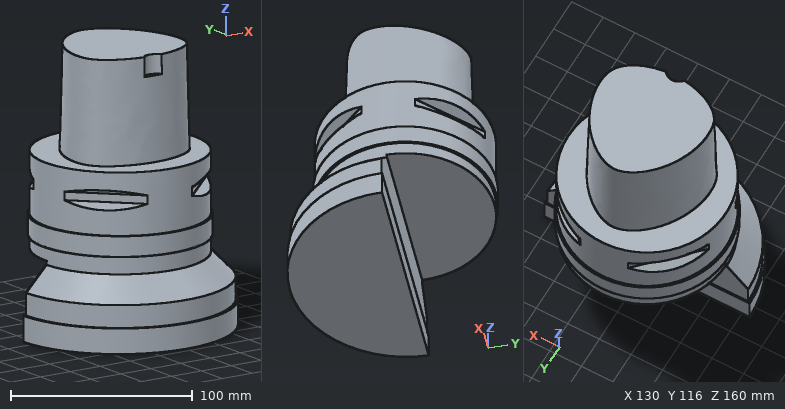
import cadquery as cq
import math

total_height = 160.0
body_diameter = 100.0
collar_diameter = 102.0
flange_diameter = 130.0
flange_step = 1.3

rim_top = 15.0
cone_bottom = 28.0
cone_top = 42.0
body_bottom = 44.0
collar_bottom = 52.0
collar_top = 63.8
body_top = 99.8
bottom_rise = 0.5
setback_depth = 0.6

shank_width = 71.7
lobe_height = 2.5
shank_taper = 1 / 20
outline_points = 36

notch_radius = 7.0
notch_inner_y = -28.5
notch_depth = 11.2

groove_count = 4
groove_height = 83.8
groove_floor_distance = 44.3
groove_floor_width = 4.8
groove_wall_angle = 30.0

body_radius = body_diameter / 2
rim_radius = flange_diameter / 2
band_radius = rim_radius - flange_step


def cylinder(diameter, bottom, top):
    """Upright cylinder on the Z axis."""
    return cq.Workplane("XY").workplane(offset=bottom).circle(diameter / 2).extrude(top - bottom)


def half_turn(profile):
    """Revolve an (r, z) profile through the half circle on the -Y side."""
    return cq.Workplane("XZ").polyline(profile).close().revolve(180, (0, 0, 0), (0, -1, 0))


def lobed_outline(width):
    """Constant-width, three-lobed curve with one lobe toward +Y."""
    points = []
    for i in range(outline_points):
        turn = 2 * math.pi * i / outline_points
        reach = width / 2 + lobe_height * math.cos(3 * turn)
        slide = -3 * lobe_height * math.sin(3 * turn)
        normal = turn + math.pi / 2
        x = reach * math.cos(normal) - slide * math.sin(normal)
        y = reach * math.sin(normal) + slide * math.cos(normal)
        points.append((x, y))
    return points


def make_body():
    collar = cylinder(collar_diameter, collar_bottom, collar_top)
    return cylinder(body_diameter, body_bottom, body_top).union(collar)


def make_flange():
    rim = half_turn([(0, 0), (rim_radius, 0), (rim_radius, rim_top), (0, rim_top)])
    upper = half_turn([
        (0, rim_top),
        (band_radius, rim_top),
        (band_radius, cone_bottom),
        (body_radius, cone_top),
        (body_radius, body_bottom),
        (0, body_bottom),
    ])
    setback = cq.Workplane("XY").box(
        flange_diameter, 2 * setback_depth, body_bottom - rim_top, centered=(True, True, False)
    ).translate((0, 0, rim_top))
    slope = (
        cq.Workplane("YZ")
        .polyline([(0, 0), (-rim_radius, 0), (-rim_radius, bottom_rise)])
        .close()
        .extrude(rim_radius, both=True)
    )
    return rim.cut(slope).union(upper.cut(setback))


def make_shank():
    height = total_height - body_top
    top_width = shank_width - shank_taper * height
    return (
        cq.Workplane("XY").workplane(offset=body_top)
        .spline(lobed_outline(shank_width), periodic=True).close()
        .workplane(offset=height)
        .spline(lobed_outline(top_width), periodic=True).close()
        .loft(ruled=True)
    )


def make_notch():
    notch = cylinder(2 * notch_radius, total_height - notch_depth, total_height)
    return notch.translate((0, notch_inner_y - notch_radius, 0))


def make_groove(angle):
    """Straight groove with a flat floor and flared walls, facing the given direction."""
    outer = collar_diameter / 2
    floor_half = groove_floor_width / 2
    flare = (outer - groove_floor_distance) * math.tan(math.radians(groove_wall_angle))
    mouth_half = floor_half + flare
    groove = (
        cq.Workplane("XZ")
        .polyline([
            (groove_floor_distance, groove_height - floor_half),
            (outer, groove_height - mouth_half),
            (outer, groove_height + mouth_half),
            (groove_floor_distance, groove_height + floor_half),
        ])
        .close()
        .extrude(body_radius, both=True)
    )
    return groove.rotate((0, 0, 0), (0, 0, 1), angle)


result = make_body().union(make_flange()).union(make_shank()).cut(make_notch())
for i in range(groove_count):
    result = result.cut(make_groove((i + 0.5) * 360 / groove_count))